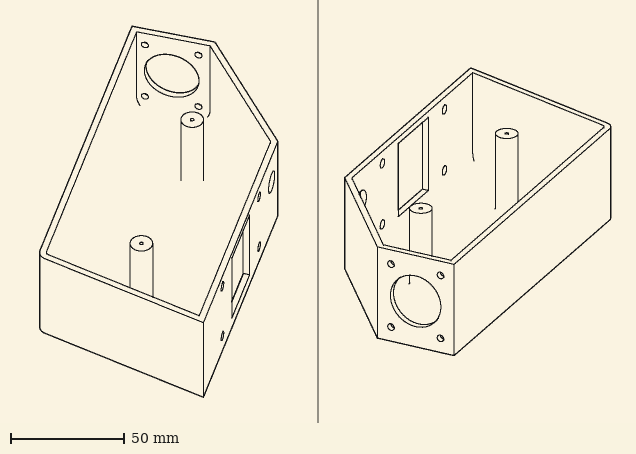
import cadquery as cq
import math

WIDTH = 82.0
LENGTH = 176.14
HEIGHT = 45.0
WALL = 3.0
FLOOR = 3.0
BACK_WIDTH = 38.0
BACK_SLANT = math.radians(39)
FRONT_SLANT = math.radians(15)
CORNER_RADIUS = 5.0
FOOT_FILLET = 2.5

RIGHT_WALL_END = LENGTH - (WIDTH - BACK_WIDTH) / math.tan(BACK_SLANT)
LEFT_WALL_START = WIDTH * math.tan(FRONT_SLANT)

STANDOFF_DIAMETER = 10.0
STANDOFF_TOP = 42.0
STANDOFF_X = WIDTH / 2
STANDOFF_FRONT_Y = 45.14
STANDOFF_SPACING = 83.0
PILOT_DIAMETER = 1.5
PILOT_DEPTH = 10.0

WINDOW_Y = 61.2
WINDOW_Z = 24.0
WINDOW_WIDTH = 29.0
WINDOW_HEIGHT = 36.0
WINDOW_SCREW_SPACING_Y = 60.0
WINDOW_SCREW_SPACING_Z = 30.0
WINDOW_SCREW_DIAMETER = 4.2
JACK_DIAMETER = 10.0
JACK_Y = 111.64
JACK_Z = 29.5

SOCKET_DIAMETER = 25.0
SOCKET_X = BACK_WIDTH / 2
SOCKET_Z = HEIGHT / 2
SOCKET_SCREW_DIAMETER = 3.2
SOCKET_SCREW_SPACING_X = 24.5
SOCKET_SCREW_SPACING_Z = 31.0

CUTTER_LENGTH = 3 * WALL


def make_shell():
    """Open-topped box with a rounded front left corner and a filleted foot all round the inside."""
    outline = cq.Workplane("XY").polyline([
        (0, LEFT_WALL_START),
        (WIDTH, 0),
        (WIDTH, RIGHT_WALL_END),
        (BACK_WIDTH, LENGTH),
        (0, LENGTH),
    ]).close()
    front_left_edge = cq.selectors.NearestToPointSelector((0, LEFT_WALL_START, HEIGHT / 2))
    outer = outline.extrude(HEIGHT).edges("|Z").edges(front_left_edge).fillet(CORNER_RADIUS)

    inner_outline = outer.faces("<Z").wires().val().offset2D(-WALL)[0]
    cavity = cq.Workplane("XY").add(inner_outline).toPending().extrude(HEIGHT)
    cavity = cavity.translate((0, 0, FLOOR)).faces("<Z").edges().fillet(FOOT_FILLET)
    return outer.cut(cavity)


def add_standoff(body, y):
    """Add a round post with a filleted foot on the floor and a blind pilot hole in its top."""
    post = cq.Workplane("XY", origin=(STANDOFF_X, y, FLOOR))
    body = body.union(post.circle(STANDOFF_DIAMETER / 2).extrude(STANDOFF_TOP - FLOOR))

    foot_edge = cq.selectors.BoxSelector(
        (STANDOFF_X - STANDOFF_DIAMETER, y - STANDOFF_DIAMETER, FLOOR / 2),
        (STANDOFF_X + STANDOFF_DIAMETER, y + STANDOFF_DIAMETER, FLOOR * 3 / 2),
    )
    body = body.edges("%CIRCLE").edges(foot_edge).fillet(FOOT_FILLET)

    pilot = cq.Workplane("XY", origin=(STANDOFF_X, y, STANDOFF_TOP - PILOT_DEPTH))
    return body.cut(pilot.circle(PILOT_DIAMETER / 2).extrude(PILOT_DEPTH))


def round_cutter(plane, diameter):
    """Cylinder centred on the plane, for one round hole through a wall."""
    return plane.circle(diameter / 2).extrude(CUTTER_LENGTH / 2, both=True)


def screw_cutters(plane, spacing_across, spacing_up, diameter):
    """Four cylinders at the corners of a rectangle centred on the plane."""
    corners = plane.rect(spacing_across, spacing_up, forConstruction=True).vertices()
    return corners.circle(diameter / 2).extrude(CUTTER_LENGTH / 2, both=True)


def cut_right_wall(body):
    """Cut the window, its screw holes and the jack hole through the right wall."""
    wall_middle = WIDTH - WALL / 2
    window_plane = cq.Workplane("YZ", origin=(wall_middle, WINDOW_Y, WINDOW_Z))
    jack_plane = cq.Workplane("YZ", origin=(wall_middle, JACK_Y, JACK_Z))
    window = window_plane.rect(WINDOW_WIDTH, WINDOW_HEIGHT).extrude(CUTTER_LENGTH / 2, both=True)
    screws = screw_cutters(
        window_plane, WINDOW_SCREW_SPACING_Y, WINDOW_SCREW_SPACING_Z, WINDOW_SCREW_DIAMETER
    )
    return body.cut(window).cut(screws).cut(round_cutter(jack_plane, JACK_DIAMETER))


def cut_back_wall(body):
    """Cut the socket hole and its screw holes through the back wall."""
    plane = cq.Workplane("XZ", origin=(SOCKET_X, LENGTH - WALL / 2, SOCKET_Z))
    screws = screw_cutters(
        plane, SOCKET_SCREW_SPACING_X, SOCKET_SCREW_SPACING_Z, SOCKET_SCREW_DIAMETER
    )
    return body.cut(round_cutter(plane, SOCKET_DIAMETER)).cut(screws)


result = make_shell()
for standoff_y in (STANDOFF_FRONT_Y, STANDOFF_FRONT_Y + STANDOFF_SPACING):
    result = add_standoff(result, standoff_y)
result = cut_right_wall(result)
result = cut_back_wall(result)